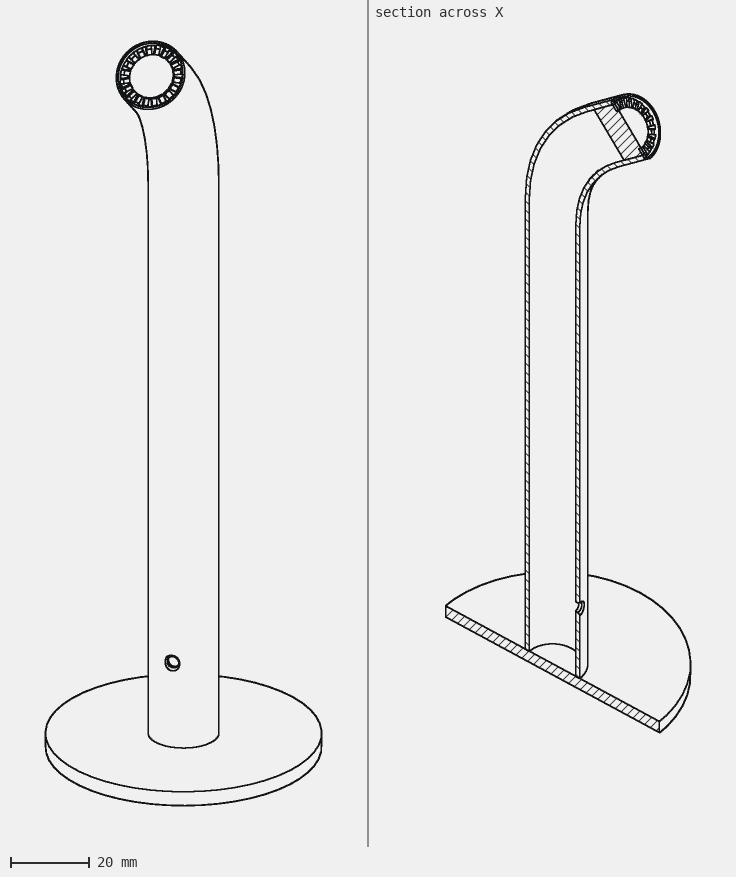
import cadquery as cq
import math

plate_diameter = 70.0
plate_thickness = 4.0

overall_height = 206.7
tube_diameter = 18.0
tube_wall = 1.5
bend_angle = 50.0
bend_radius = 44.5
outlet_length = 13.2

rim_wall = 0.52
rim_depth = 1.9

screw_hole_diameter = 3.0
countersink_diameter = 4.3
countersink_depth = 0.6
screw_hole_height = 27.5

aerator_length = 9.0
aerator_recess = 0.8
flange_diameter = 16.1
face_diameter = 11.4
tooth_count = 20
tooth_gap_width = 1.5

tube_radius = tube_diameter / 2
bore_radius = tube_radius - tube_wall
rim_bore_radius = tube_radius - rim_wall
bend_sin = math.sin(math.radians(bend_angle))
bend_cos = math.cos(math.radians(bend_angle))

outlet_z = overall_height - tube_radius * bend_sin
bend_end_z = outlet_z - outlet_length * bend_cos
bend_start_z = bend_end_z - bend_radius * bend_sin
bend_end_y = -bend_radius * (1 - bend_cos)
outlet_y = bend_end_y - outlet_length * bend_sin

outlet_plane = cq.Plane(
    origin=(0, outlet_y, outlet_z), xDir=(1, 0, 0), normal=(0, -bend_sin, bend_cos)
)


def make_plate():
    """Flat round disc that the spout stands on."""
    return cq.Workplane("XY").circle(plate_diameter / 2).extrude(plate_thickness)


def spout_rod(radius):
    """Solid round rod that follows the spout centreline."""
    stem = cq.Workplane("XY", origin=(0, 0, plate_thickness)).circle(radius)
    stem = stem.extrude(bend_start_z - plate_thickness)
    bend = cq.Workplane("XY", origin=(0, 0, bend_start_z)).circle(radius)
    bend = bend.revolve(bend_angle, (0, -bend_radius, 0), (1, -bend_radius, 0))
    outlet = cq.Workplane(outlet_plane).circle(radius).extrude(-outlet_length)
    return stem.union(bend).union(outlet)


def screw_hole_cutter():
    """Round hole along Y that widens in a cone towards the front of the stem."""
    cone_start_y = -tube_radius + countersink_depth
    hole_radius = screw_hole_diameter / 2
    hole = cq.Workplane("XZ", origin=(0, 0, screw_hole_height)).circle(hole_radius).extrude(tube_radius)
    cone = (
        cq.Workplane("XZ", origin=(0, cone_start_y, screw_hole_height))
        .circle(hole_radius)
        .workplane(offset=countersink_depth)
        .circle(countersink_diameter / 2)
        .loft()
    )
    return hole.union(cone)


def make_tube():
    """Hollow spout with a counterbored outlet and a screw hole through the front wall."""
    rim_counterbore = cq.Workplane(outlet_plane).circle(rim_bore_radius).extrude(-rim_depth)
    tube = spout_rod(tube_radius).cut(spout_rod(bore_radius))
    return tube.cut(rim_counterbore).cut(screw_hole_cutter())


def make_aerator():
    """Plug that fills the bore, with a flange on the counterbore step cut into radial teeth."""
    face = cq.Workplane(outlet_plane).workplane(offset=-aerator_recess)
    flange_thickness = rim_depth - aerator_recess
    plug = face.circle(bore_radius).extrude(-aerator_length)
    flange = face.circle(flange_diameter / 2).extrude(-flange_thickness)
    gap_length = flange_diameter - face_diameter
    gaps = (
        face.polarArray(flange_diameter / 2, 0, 360, tooth_count)
        .rect(gap_length, tooth_gap_width)
        .extrude(-flange_thickness)
    )
    return plug.union(flange).cut(gaps)


plate = make_plate()
tube = make_tube()
aerator = make_aerator()

result = cq.Compound.makeCompound([plate.val(), tube.solids().val(), aerator.solids().val()])